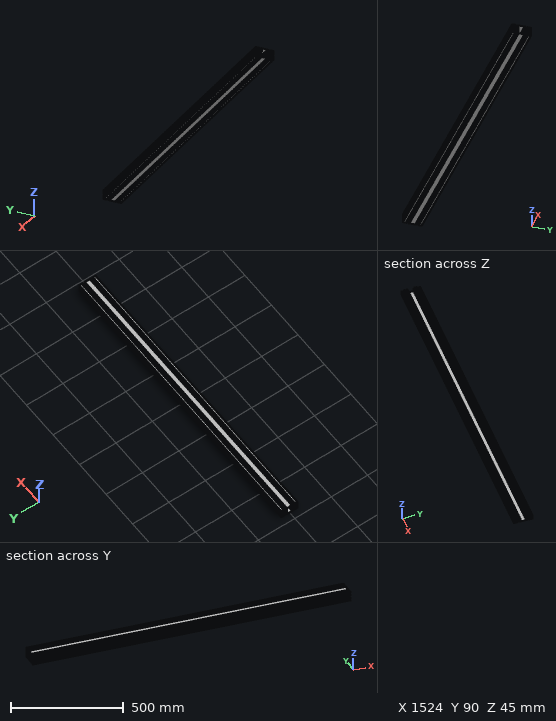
import cadquery as cq

length = 1524.0
width = 90.0
module = width / 2
height = module
half_width = width / 2
half_height = height / 2
module_offset = module / 2

slot_opening = 9.0
lip_thickness = 5.0
slot_inner_width = 14.0
slot_straight_depth = 11.5
slot_depth = 15.0
slot_floor_width = 8.0

corner_radius = 2.6

skin = 2.0
corner_hollow = 11.5
corner_notch = 3.8
core_bore_diameter = 9.0
center_hollow_width = 26.0
center_hollow_bulge_width = 32.0
bulge_height = 12.0


def prism(points):
    """Extrude a closed YZ outline over the full length."""
    return cq.Workplane("YZ").polyline(points).close().extrude(length / 2, both=True)


def mirrored(points):
    """Complete a half outline by mirroring it about its first coordinate."""
    return points + [(-across, along) for across, along in reversed(points)]


def t_slot():
    """T-slot opening upward on the top face, centred on Y = 0."""
    return prism(mirrored([
        (slot_opening / 2, half_height),
        (slot_opening / 2, half_height - lip_thickness),
        (slot_inner_width / 2, half_height - lip_thickness),
        (slot_inner_width / 2, half_height - slot_straight_depth),
        (slot_floor_width / 2, half_height - slot_depth),
    ]))


def corner_hollow_prism(side_y, side_z):
    """L-shaped hollow behind an outer corner, notched where the diagonal web meets it."""
    outer = skin + corner_hollow
    notch = outer - corner_notch
    outline = [
        (skin, skin),
        (outer, skin),
        (outer, notch),
        (notch, notch),
        (notch, outer),
        (skin, outer),
    ]
    return prism([
        (side_y * (half_width - inset_y), side_z * (half_height - inset_z))
        for inset_y, inset_z in outline
    ])


def center_hollow():
    """Cross-shaped hollow between the modules, stepping out toward both cores at mid height."""
    return prism(mirrored([
        (center_hollow_width / 2, half_height - skin),
        (center_hollow_width / 2, bulge_height / 2),
        (center_hollow_bulge_width / 2, bulge_height / 2),
        (center_hollow_bulge_width / 2, -bulge_height / 2),
        (center_hollow_width / 2, -bulge_height / 2),
        (center_hollow_width / 2, -half_height + skin),
    ]))


def core_bore():
    """Round bore along the axis of a module core, centred on Y = 0."""
    return cq.Workplane("YZ").circle(core_bore_diameter / 2).extrude(length / 2, both=True)


profile = cq.Workplane("XY").box(length, width, height).edges("|X").fillet(corner_radius)
profile = profile.cut(center_hollow())

for side in (-1, 1):
    module_y = side * module_offset

    for turn in (0, 180, side * -90):
        slot = t_slot().rotate((0, 0, 0), (1, 0, 0), turn)
        profile = profile.cut(slot.translate((0, module_y, 0)))

    profile = profile.cut(core_bore().translate((0, module_y, 0)))

    for side_z in (-1, 1):
        profile = profile.cut(corner_hollow_prism(side, side_z))

result = profile